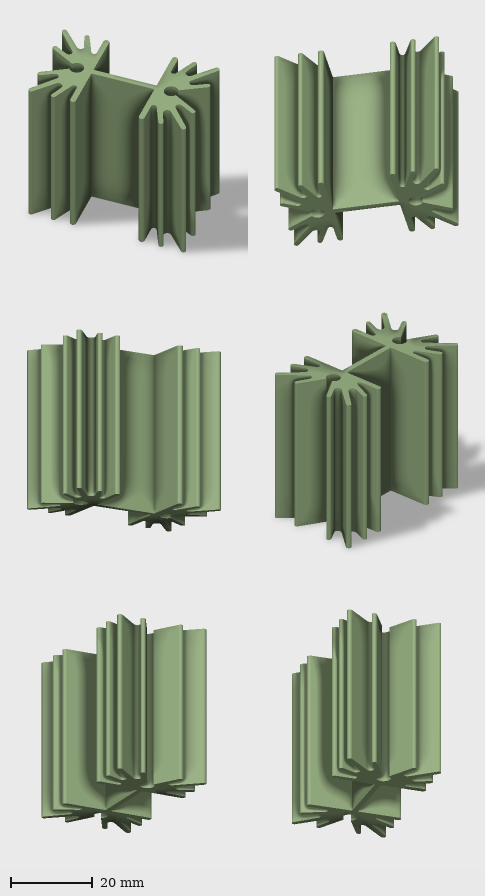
import cadquery as cq
import math

WIDTH = 41.1
DEPTH = 24.38
LENGTH = 40.0

WEB_HALF_THICKNESS = 0.75
WALL_INNER_X = 8.22
WALL_TIP_RADIUS = 0.75

CHANNEL_X = 12.35
CHANNEL_RADIUS = 1.8
LIP_ANGLE = 30.0

STEEP_TIP_X = 14.0
STEEP_TIP_RADIUS = 0.6
CORNER_TIP_RADIUS = 0.65
SIDE_TIP_Y = 5.15
SIDE_TIP_RADIUS = 0.6

WALL_GAP_RADIUS = 0.7
WALL_GAP_Y = 6.95
MIDDLE_GAP = (14.22, 7.85, 1.03)
SIDE_GAP = (16.2, 4.8, 0.9)

half_width = WIDTH / 2
half_depth = DEPTH / 2
wall_outer_x = WALL_INNER_X + 2 * WALL_TIP_RADIUS

rounds = [
    (WALL_INNER_X + WALL_TIP_RADIUS, half_depth - WALL_TIP_RADIUS, WALL_TIP_RADIUS),
    (wall_outer_x + WALL_GAP_RADIUS, WALL_GAP_Y, WALL_GAP_RADIUS),
    (STEEP_TIP_X, half_depth - STEEP_TIP_RADIUS, STEEP_TIP_RADIUS),
    MIDDLE_GAP,
    (half_width - CORNER_TIP_RADIUS, half_depth - CORNER_TIP_RADIUS, CORNER_TIP_RADIUS),
    SIDE_GAP,
    (half_width - SIDE_TIP_RADIUS, SIDE_TIP_Y, SIDE_TIP_RADIUS),
]


def point_on(circle, angle):
    x, y, radius = circle
    return (x + radius * math.cos(angle), y + radius * math.sin(angle))


def crossing_tangent_angle(first, second, side):
    """Angle on the first circle where the tangent crossing to the second leaves it."""
    dx = second[0] - first[0]
    dy = second[1] - first[1]
    spread = math.acos((first[2] + second[2]) / math.hypot(dx, dy))
    return math.atan2(dy, dx) + side * spread


def add_fins(outline):
    """Trace tips clockwise and gaps counterclockwise, joined by tangent lines."""
    arrive = math.pi
    for index, circle in enumerate(rounds):
        side = 1 if index % 2 == 0 else -1
        if index + 1 < len(rounds):
            leave = crossing_tangent_angle(circle, rounds[index + 1], side)
        else:
            leave = math.radians(LIP_ANGLE - 90)
        sweep = side * (arrive - leave) % (2 * math.pi)
        middle = arrive - side * sweep / 2
        outline = outline.lineTo(*point_on(circle, arrive))
        outline = outline.threePointArc(point_on(circle, middle), point_on(circle, leave))
        arrive = leave + math.pi
    return outline


def quarter_section():
    """One quarter, with the outermost fin face continued down to the X axis."""
    face_x, face_y = point_on(rounds[-1], math.radians(LIP_ANGLE - 90))
    opening_apex_x = face_x - face_y / math.tan(math.radians(LIP_ANGLE))
    outline = (
        cq.Workplane("XY")
        .lineTo(0, WEB_HALF_THICKNESS)
        .lineTo(WALL_INNER_X, WEB_HALF_THICKNESS)
    )
    return add_fins(outline).lineTo(opening_apex_x, 0).close().extrude(LENGTH)


def screw_channels():
    centers = [(-CHANNEL_X, 0), (CHANNEL_X, 0)]
    return cq.Workplane("XY").pushPoints(centers).circle(CHANNEL_RADIUS).extrude(LENGTH)


quarter = quarter_section()
half = quarter.union(quarter.mirror("XZ"))
result = half.union(half.mirror("YZ")).clean().cut(screw_channels())